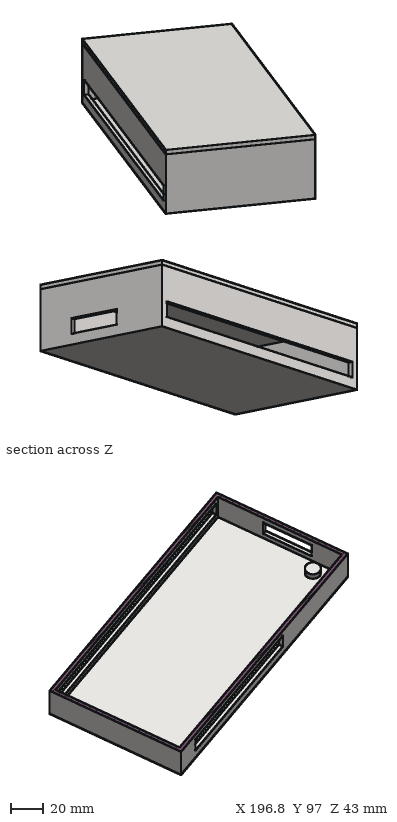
import cadquery as cq

length = 196.8
width = 97.0
height = 43.0
lid_thickness = 3.0
case_height = height - lid_thickness

wall = 3.0
floor_thickness = 3.0

sill_z = 7.0
opening_height = 10.0
front_slot_margin = 5.0
rear_slot_start = 76.8
rear_slot_end = 180.0
side_slot_start = 36.2
side_slot_end = 72.0

standoff_diameter = 10.0
standoff_height = sill_z - floor_thickness
standoff_x = 11.2
standoff_y = 78.1


def block(x_start, x_end, y_start, y_end, z_start, z_end):
    """Box given by its limits along each axis."""
    size = (x_end - x_start, y_end - y_start, z_end - z_start)
    return cq.Workplane("XY").box(*size, centered=False).translate((x_start, y_start, z_start))


def make_case():
    """Open-topped case with a slot in three walls and a standoff on its floor."""
    sill_top = sill_z + opening_height
    shell = block(0, length, 0, width, 0, case_height)
    cavity = block(wall, length - wall, wall, width - wall, floor_thickness, case_height)
    front_slot = block(front_slot_margin, length - front_slot_margin, 0, wall, sill_z, sill_top)
    rear_slot = block(rear_slot_start, rear_slot_end, width - wall, width, sill_z, sill_top)
    side_slot = block(0, wall, side_slot_start, side_slot_end, sill_z, sill_top)
    standoff = (
        cq.Workplane("XY")
        .center(standoff_x, standoff_y)
        .circle(standoff_diameter / 2)
        .extrude(floor_thickness + standoff_height)
    )
    return shell.cut(cavity).cut(front_slot).cut(rear_slot).cut(side_slot).union(standoff)


def make_lid():
    """Flat plate resting on the rim of the case."""
    return block(0, length, 0, width, case_height, height)


case = make_case()
lid = make_lid()
result = cq.Compound.makeCompound([case.val(), lid.val()])